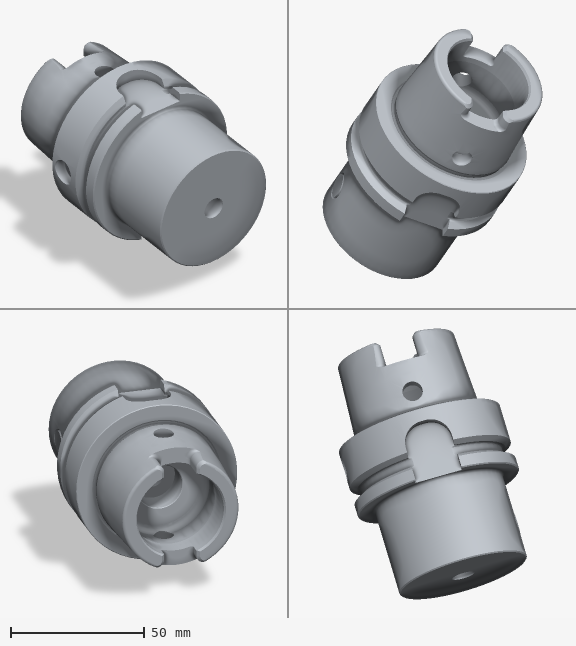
import cadquery as cq
import math

total_length = 90.9
shank_length = 31.8
flange_diameter = 63.0
flange_radius = flange_diameter / 2
flange_end = 57.8
sleeve_radius = 24.9

shank_tip_radius = 22.7
shank_root_radius = 24.3
taper_end = 29.8
tip_fillet = 1.2
undercut_radius = 23.8
undercut_start = 30.7
face_relief_radius = 25.4
face_relief_floor_radius = 24.8
face_relief_depth = 0.3

flange_chamfer = 0.3
flange_rear_chamfer = 0.45
groove_start = 46.5
groove_end = 53.2
groove_side_run = 1.45
groove_side_angle = 30.0
groove_floor_radius = 27.5
groove_floor_fillet = 0.5

sleeve_root_fillet = 0.9
sleeve_end_chamfer = 0.45

mouth_radius = 17.5
mouth_chamfer_depth = 1.0
cavity_radius = 17.0
cavity_cylinder_end = 12.7
cavity_wide_radius = 18.5
cavity_floor_radius = 15.8
cavity_floor_x = 27.5
thread_radius = 8.7
thread_depth = 10.0
thread_chamfer = 0.3
coolant_radius = 4.3

slot_half_width = 6.3
slot_base_height = 7.3
slot_flare_radius = 3.0
slot_flare_height = 20.9
slot_flare_overrun = 25.0
slot_floor_fillet = 1.45
upper_slot_depth = 10.3
lower_slot_depth = 6.2

keyway_half_width = 9.0
keyway_start = 36.7
keyway_floor_height = 26.45
keyway_corner_radius = 8.0

access_x = 22.9
access_radius = 3.8
chip_x = 38.8
chip_radius = 5.0
chip_depth = 4.5
chip_floor_fillet = 0.3

screw_x = 77.8
screw_radius = 4.5
screw_length = 10.9
screw_rim_radius = 5.0


def outer_form():
    """Shank, flange with its gripper groove and sleeve as one revolved solid."""
    side_drop = groove_side_run / math.tan(math.radians(groove_side_angle))
    groove_wall_radius = flange_radius - side_drop
    relief_x = shank_length + face_relief_depth
    profile = (
        cq.Workplane("XY")
        .polyline([
            (0, 0),
            (0, shank_tip_radius - tip_fillet),
        ])
        .radiusArc((tip_fillet, shank_tip_radius), tip_fillet)
        .polyline([
            (tip_fillet, shank_tip_radius),
            (taper_end, shank_root_radius),
            (undercut_start, undercut_radius),
            (relief_x, undercut_radius),
            (relief_x, face_relief_floor_radius),
            (shank_length, face_relief_radius),
            (shank_length, flange_radius - flange_chamfer),
            (shank_length + flange_chamfer, flange_radius),
            (groove_start, flange_radius),
            (groove_start + groove_side_run, groove_wall_radius),
            (groove_start + groove_side_run, groove_floor_radius + groove_floor_fillet),
        ])
        .radiusArc(
            (groove_start + groove_side_run + groove_floor_fillet, groove_floor_radius),
            -groove_floor_fillet,
        )
        .lineTo(groove_end - groove_side_run - groove_floor_fillet, groove_floor_radius)
        .radiusArc(
            (groove_end - groove_side_run, groove_floor_radius + groove_floor_fillet),
            -groove_floor_fillet,
        )
        .lineTo(groove_end - groove_side_run, groove_wall_radius)
        .lineTo(groove_end, flange_radius)
        .lineTo(flange_end - flange_rear_chamfer, flange_radius)
        .lineTo(flange_end, flange_radius - flange_rear_chamfer)
        .lineTo(flange_end, sleeve_radius + sleeve_root_fillet)
        .radiusArc((flange_end + sleeve_root_fillet, sleeve_radius), -sleeve_root_fillet)
        .lineTo(total_length - sleeve_end_chamfer, sleeve_radius)
        .lineTo(total_length, sleeve_radius - sleeve_end_chamfer)
        .lineTo(total_length, 0)
        .close()
    )
    return profile.revolve(360, (0, 0, 0), (1, 0, 0))


def slot_section(x):
    """Drive-slot outline in the plane at `x`: straight walls that flare outward near the rim."""
    overrun = math.radians(slot_flare_overrun)
    flare_start = slot_flare_height - slot_flare_radius
    flare_end_y = slot_half_width + slot_flare_radius * (1 + math.sin(overrun))
    flare_end_z = flare_start + slot_flare_radius * math.cos(overrun)
    shoulder_y = shank_tip_radius
    shoulder_z = flare_end_z - (shoulder_y - flare_end_y) * math.tan(overrun)
    top = shank_root_radius + slot_floor_fillet
    return (
        cq.Workplane("YZ", origin=(x, 0, 0))
        .moveTo(-slot_half_width, slot_base_height)
        .lineTo(slot_half_width, slot_base_height)
        .lineTo(slot_half_width, flare_start)
        .radiusArc((flare_end_y, flare_end_z), slot_flare_radius)
        .lineTo(shoulder_y, shoulder_z)
        .lineTo(shoulder_y, top)
        .lineTo(-shoulder_y, top)
        .lineTo(-shoulder_y, shoulder_z)
        .lineTo(-flare_end_y, flare_end_z)
        .radiusArc((-slot_half_width, flare_start), slot_flare_radius)
        .close()
    )


def drive_slot(depth, turn):
    """Cutter for one drive slot with a chamfered mouth; `turn` rotates it about X."""
    channel = slot_section(0).extrude(depth).faces(">X").edges().fillet(slot_floor_fillet)
    mouth = slot_section(tip_fillet).extrude(-tip_fillet, taper=-45)
    return channel.union(mouth).rotate((0, 0, 0), (1, 0, 0), turn)


def cavity():
    """Clamping cavity, coolant-tube thread bore and coolant hole as one revolved cutter."""
    floor_fillet = cavity_wide_radius - cavity_floor_radius
    profile = (
        cq.Workplane("XY")
        .polyline([
            (0, 0),
            (0, mouth_radius),
            (mouth_chamfer_depth, cavity_radius),
            (cavity_cylinder_end, cavity_radius),
            (cavity_floor_x - floor_fillet, cavity_wide_radius),
        ])
        .radiusArc((cavity_floor_x, cavity_floor_radius), floor_fillet)
        .lineTo(cavity_floor_x, thread_radius + thread_chamfer)
        .lineTo(cavity_floor_x + thread_chamfer, thread_radius)
        .lineTo(cavity_floor_x + thread_depth, thread_radius)
        .lineTo(cavity_floor_x + thread_depth, coolant_radius)
        .lineTo(total_length, coolant_radius)
        .lineTo(total_length, 0)
        .close()
    )
    return profile.revolve(360, (0, 0, 0), (1, 0, 0))


def keyway(turn):
    """Cutter for one flange keyway with rounded end corners, open to the rear."""
    cutter = (
        cq.Workplane("XY", origin=(0, 0, keyway_floor_height))
        .moveTo(keyway_start, -keyway_half_width)
        .lineTo(flange_end, -keyway_half_width)
        .lineTo(flange_end, keyway_half_width)
        .lineTo(keyway_start, keyway_half_width)
        .close()
        .extrude(flange_radius - keyway_floor_height)
        .edges("|Z and <X")
        .fillet(keyway_corner_radius)
    )
    return cutter.rotate((0, 0, 0), (1, 0, 0), turn)


def access_hole():
    """Cutter for the plain access hole that passes straight through the shank along Z."""
    return (
        cq.Workplane("XY", origin=(access_x, 0, -flange_radius))
        .circle(access_radius)
        .extrude(2 * flange_radius)
    )


def chip_hole():
    """Cutter for the flat-bottomed data-chip hole in the -Y side of the flange."""
    return (
        cq.Workplane("XZ", origin=(chip_x, 0, 0))
        .workplane(offset=flange_radius - chip_depth)
        .circle(chip_radius)
        .extrude(chip_depth)
        .faces(">Y")
        .edges()
        .fillet(chip_floor_fillet)
    )


def clamping_screw():
    """Clamping screw in the +Y side of the sleeve, its end level with the sleeve surface."""
    return (
        cq.Workplane("XZ", origin=(screw_x, sleeve_radius, 0))
        .circle(screw_radius)
        .extrude(screw_length)
    )


def screw_countersink():
    """Cone that opens the rim of the screw hole at the sleeve surface."""
    rim_depth = sleeve_radius - math.sqrt(sleeve_radius**2 - screw_rim_radius**2)
    depth = rim_depth + screw_rim_radius - screw_radius
    return (
        cq.Workplane("XZ", origin=(screw_x, sleeve_radius, 0))
        .circle(screw_rim_radius + rim_depth)
        .workplane(offset=depth)
        .circle(screw_radius)
        .loft()
    )


def make_housing(screw):
    """Housing: the revolved form less its cavity, slots, keyways and holes."""
    body = outer_form().cut(cavity())
    for depth, turn in ((upper_slot_depth, 0), (lower_slot_depth, 180)):
        body = body.cut(drive_slot(depth, turn))
    for turn in (0, 180):
        body = body.cut(keyway(turn))
    body = body.cut(access_hole()).cut(chip_hole())
    return body.cut(screw_countersink()).cut(screw)


screw = clamping_screw()
housing = make_housing(screw)

result = cq.Compound.makeCompound([housing.val(), screw.val()])